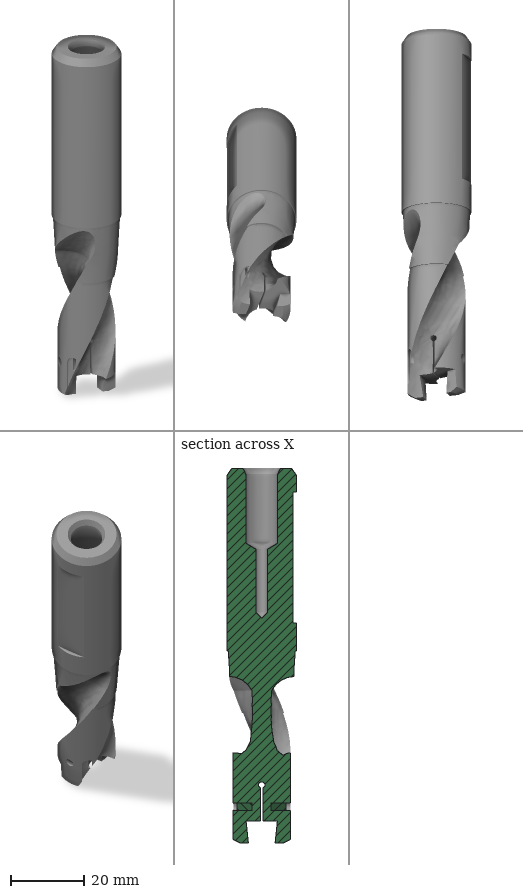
import cadquery as cq
import math

TOTAL_HEIGHT = 102.7
JAW_HEIGHT = 6.0
NECK_BOTTOM_Z = 35.5
SHANK_BOTTOM_Z = 52.6

SHANK_RADIUS = 9.5
SHANK_END_RADIUS = 8.2
SHANK_CHAMFER_HEIGHT = 2.0
NECK_TOP_RADIUS = 9.2
NECK_BOTTOM_RADIUS = 8.3
DRILL_DIAMETER = 15.9
DRILL_RADIUS = DRILL_DIAMETER / 2
TIP_CHAMFER_WIDTH = 2.0
TIP_CHAMFER_HEIGHT = 1.0

COUNTERSINK_RADIUS = 5.1
COUNTERSINK_DEPTH = 1.6
BORE_RADIUS = 4.3
BORE_DEPTH = 20.5
BORE_CONE_HEIGHT = 1.6
COOLANT_RADIUS = 1.5
COOLANT_BOTTOM_Z = 61.6

FLAT_Y = 8.6
FLAT_BOTTOM_Z = 60.4
FLAT_TOP_Z = 96.1

FLUTE_START_RADIUS = 4.5
FLUTE_STEPS = 12
FLUTE_SEAM_ANGLE = 210.0
CORE_RADIUS = 2.6
FLUTE_LEAD = 97.5
FLUTE_AT_MINUS_X_Z = 12.3
FLUTE_START_Z = -1.0
RUNOUT_START_Z = 41.7
RUNOUT_START_RADIUS = 7.6
RUNOUT_END_RADIUS = 6.7
RUNOUT_END_Z = 51.6
RUNOUT_EXIT_ANGLE = 328.0

JAW_HALF_WIDTH_ROOT = 4.3
JAW_HALF_WIDTH_TIP = 3.7
JAW_OUTER_Y = 6.7
JAW_FLANK_ANGLE = 20.0
SEAT_HALF_WIDTH_ROOT = 4.2
SEAT_HALF_WIDTH_TIP = 3.6

SLIT_WIDTH = 0.5
SLIT_END_RADIUS = 0.8
SLIT_END_Z = 15.9

OUTLET_X = 4.3
OUTLET_RADIUS = 2.0
OUTLET_CENTER_Z = 10.8
OUTLET_FLOOR_Y = 6.2
OUTLET_TILT = 28.0
OUTLET_HOLE_RADIUS = 0.67
OUTLET_HOLE_Y = 5.6
OUTLET_HOLE_BOTTOM_Z = 8.8
OUTLET_HOLE_TOP_Z = 13.3

PIN_X = -0.8
PIN_Z = 10.0
PIN_RADIUS = 1.2
PIN_INNER_Y = 2.7
PIN_OUTER_Y = 6.8

OVERSIZE = 2 * SHANK_RADIUS
HALF_TURNS = (0, 180)


def half_turn_copies(shape):
    """Return the shape and its copy turned half a turn about the Z axis."""
    return [shape.rotate((0, 0, 0), (0, 0, 1), angle) for angle in HALF_TURNS]


def turned_blank():
    """Shank, neck and drill turned about Z, with the stepped bore in the shank end."""
    tip_radius = DRILL_RADIUS - TIP_CHAMFER_WIDTH
    bore_floor_z = TOTAL_HEIGHT - BORE_DEPTH
    outline = [
        (0, 0),
        (tip_radius, 0),
        (DRILL_RADIUS, TIP_CHAMFER_HEIGHT),
        (DRILL_RADIUS, NECK_BOTTOM_Z),
        (NECK_BOTTOM_RADIUS, NECK_BOTTOM_Z),
        (NECK_TOP_RADIUS, SHANK_BOTTOM_Z),
        (SHANK_RADIUS, SHANK_BOTTOM_Z),
        (SHANK_RADIUS, TOTAL_HEIGHT - SHANK_CHAMFER_HEIGHT),
        (SHANK_END_RADIUS, TOTAL_HEIGHT),
        (COUNTERSINK_RADIUS, TOTAL_HEIGHT),
        (BORE_RADIUS, TOTAL_HEIGHT - COUNTERSINK_DEPTH),
        (BORE_RADIUS, bore_floor_z),
        (COOLANT_RADIUS, bore_floor_z - BORE_CONE_HEIGHT),
        (COOLANT_RADIUS, COOLANT_BOTTOM_Z + COOLANT_RADIUS),
        (0, COOLANT_BOTTOM_Z),
    ]
    return cq.Workplane("XZ").polyline(outline).close().revolve(360, (0, 0), (0, 1))


def shank_flat():
    """Material removed beyond the clamping flat."""
    height = FLAT_TOP_Z - FLAT_BOTTOM_Z
    block = cq.Workplane("XY").box(OVERSIZE, OVERSIZE, height, centered=(True, False, False))
    return block.translate((0, FLAT_Y, FLAT_BOTTOM_Z))


def flute_angle(z):
    """Return the direction in degrees, from +X, that the flute faces at a height."""
    return 180 + (z - FLUTE_AT_MINUS_X_Z) * 360 / FLUTE_LEAD


def flute_section(distance, angle, z, radius):
    """Return the flute's round section, its bottom at a distance and angle about the axis."""
    x = (distance + radius) * math.cos(math.radians(angle))
    y = (distance + radius) * math.sin(math.radians(angle))
    circle = cq.Wire.makeCircle(radius, cq.Vector(x, y, z), cq.Vector(0, 0, 1))
    return circle.rotate(cq.Vector(x, y, z), cq.Vector(x, y, z + 1), FLUTE_SEAM_ANGLE)


def helix_section(z):
    """Return the section at a height on the helix, where the flute widens upwards."""
    share = (z - FLUTE_START_Z) / (RUNOUT_START_Z - FLUTE_START_Z)
    radius = FLUTE_START_RADIUS + share * (RUNOUT_START_RADIUS - FLUTE_START_RADIUS)
    return flute_section(CORE_RADIUS, flute_angle(z), z, radius)


def flute_helix():
    """Smooth cutter through round sections that turn about the drill axis."""
    step = (RUNOUT_START_Z - FLUTE_START_Z) / FLUTE_STEPS
    sections = [helix_section(FLUTE_START_Z + i * step) for i in range(FLUTE_STEPS + 1)]
    return cq.Workplane(cq.Solid.makeLoft(sections))


def flute_runout():
    """Lead the round section straight outwards until it leaves the neck."""
    end = flute_section(NECK_TOP_RADIUS, RUNOUT_EXIT_ANGLE, RUNOUT_END_Z, RUNOUT_END_RADIUS)
    return cq.Workplane(cq.Solid.makeLoft([helix_section(RUNOUT_START_Z), end], True))


def jaw_side():
    """Material beside the jaws on the +X side, with a slanted flank towards each jaw."""

    def flank_x(half_width, y):
        return half_width + (y - JAW_OUTER_Y) * math.tan(math.radians(JAW_FLANK_ANGLE))

    def outline(half_width):
        inner_x = flank_x(half_width, 0)
        outer_x = flank_x(half_width, OVERSIZE)
        return [(inner_x, 0), (outer_x, OVERSIZE), (2 * OVERSIZE, 0), (outer_x, -OVERSIZE)]

    tip = cq.Workplane("XY").polyline(outline(JAW_HALF_WIDTH_TIP)).close()
    root = tip.workplane(offset=JAW_HEIGHT).polyline(outline(JAW_HALF_WIDTH_ROOT)).close()
    return root.loft(ruled=True)


def tip_seat():
    """Dovetail gap between the jaws."""
    outline = [
        (-SEAT_HALF_WIDTH_ROOT, JAW_HEIGHT),
        (SEAT_HALF_WIDTH_ROOT, JAW_HEIGHT),
        (SEAT_HALF_WIDTH_TIP, 0),
        (-SEAT_HALF_WIDTH_TIP, 0),
    ]
    return cq.Workplane("YZ").polyline(outline).close().extrude(OVERSIZE, both=True)


def slit():
    """Narrow gap between the jaws, ending in a round relief hole along X."""
    height = SLIT_END_Z - JAW_HEIGHT
    gap = cq.Workplane("XY").box(OVERSIZE, SLIT_WIDTH, height, centered=(True, True, False))
    gap = gap.translate((0, 0, JAW_HEIGHT))
    relief = cq.Workplane("YZ").center(0, SLIT_END_Z).circle(SLIT_END_RADIUS).extrude(OVERSIZE, both=True)
    return gap.union(relief)


def outlet():
    """Tilted slot open towards the jaw tip on the -Y side, with a short hole rising from its floor."""
    tilt = math.radians(OUTLET_TILT)
    floor = cq.Plane(
        origin=(OUTLET_X, -OUTLET_FLOOR_Y, 0),
        xDir=(math.cos(tilt), math.sin(tilt), 0),
        normal=(math.sin(tilt), -math.cos(tilt), 0),
    )
    slot = (
        cq.Workplane(floor)
        .moveTo(-OUTLET_RADIUS, 0)
        .lineTo(-OUTLET_RADIUS, OUTLET_CENTER_Z)
        .threePointArc((0, OUTLET_CENTER_Z + OUTLET_RADIUS), (OUTLET_RADIUS, OUTLET_CENTER_Z))
        .lineTo(OUTLET_RADIUS, 0)
        .close()
        .extrude(OVERSIZE)
    )
    hole = cq.Workplane("XY", origin=(OUTLET_X, -OUTLET_HOLE_Y, OUTLET_HOLE_BOTTOM_Z))
    hole = hole.circle(OUTLET_HOLE_RADIUS).extrude(OUTLET_HOLE_TOP_Z - OUTLET_HOLE_BOTTOM_Z)
    return slot.union(hole)


def pin_cylinder(outer_y):
    """Cylinder along Y on the -Y side, from the pin's inner end out to a given depth."""
    disc = cq.Workplane("XZ", origin=(0, -PIN_INNER_Y, 0)).center(PIN_X, PIN_Z).circle(PIN_RADIUS)
    return disc.extrude(outer_y - PIN_INNER_Y)


def drill_body():
    """Complete drill with its flutes, jaws, coolant outlets and pin holes."""
    body = turned_blank().cut(shank_flat())
    paired_cutters = (flute_helix(), flute_runout(), jaw_side(), outlet(), pin_cylinder(OVERSIZE))
    for feature in paired_cutters:
        for cutter in half_turn_copies(feature):
            body = body.cut(cutter)
    return body.cut(tip_seat()).cut(slit())


def cross_pins():
    """Two pins, sunk below the drill surface on opposite sides."""
    return half_turn_copies(pin_cylinder(PIN_OUTER_Y))


drill = drill_body()
pins = cross_pins()
result = cq.Compound.makeCompound([drill.val(), *[pin.val() for pin in pins]])